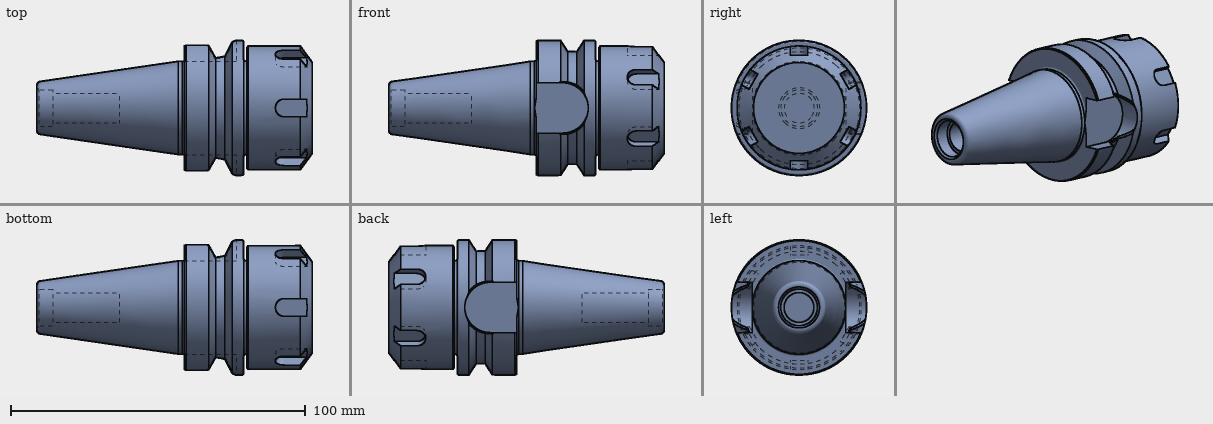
import cadquery as cq


TAPER_RATIO = 7 / 24
TAPER_LARGE_RADIUS = 31.7 / 2
TAPER_END_X = 48.1
TAPER_SMALL_RADIUS = TAPER_LARGE_RADIUS - TAPER_END_X * TAPER_RATIO / 2
TAIL_FILLET = 1.5

NECK_RADIUS = 31.8 / 2
NECK_FILLET = 0.7

FLANGE_RADIUS = 46.0 / 2
FLANGE_START_X = 50.2
FLANGE_END_X = 70.3
GROOVE_START_X = 58.4
GROOVE_END_X = 66.4
GROOVE_FLOOR_START_X = 60.8
GROOVE_FLOOR_END_X = 64.0
GROOVE_FLOOR_RADIUS = 19.2
FLANGE_EDGE_LENGTH = 0.6
FLANGE_EDGE_DEPTH = 0.3
FLANGE_REAR_FILLET = 0.75

SLOT_FLOOR_Y = 15.9
SLOT_RADIUS = 8.5
SLOT_ROUND_X = 59.3
SLOT_EDGE_BREAK = 0.5

NUT_RADIUS = 42.1 / 2
NUT_START_X = 71.4
NUT_EDGE_BREAK = 0.6
NUT_CONE_X = 89.5
NUT_END_X = 93.6
NUT_FACE_RADIUS = 15.45

WRENCH_SLOT_COUNT = 6
WRENCH_SLOT_RADIUS = 3.0
WRENCH_SLOT_ROUND_X = 84.1
WRENCH_SLOT_FLOOR = 17.9

BORE_RADIUS = 12.5 / 2
BORE_DEPTH = 5.5
BORE_CHAMFER = 0.75
THREAD_RADIUS = 10.1 / 2
THREAD_DEPTH = 28.1

SELECT_MARGIN = 0.05


def revolved(outline):
    """Revolve a closed (x, radius) outline about the X axis."""
    return cq.Workplane("XY").polyline(outline).close().revolve(360, (0, 0, 0), (1, 0, 0))


def about_axis(part, angle):
    """Turn a part about the X axis."""
    return part.rotate((0, 0, 0), (1, 0, 0), angle)


def block_selector(x_min, x_max, half_width):
    """Selector for edges inside a square block centred on the X axis."""
    low = (x_min, -half_width, -half_width)
    high = (x_max, half_width, half_width)
    return cq.selectors.BoxSelector(low, high, boundingbox=True)


def fillet_ring(part, x, ring_radius, fillet):
    """Round the full circular edge of the given radius at position x."""
    within = block_selector(x - SELECT_MARGIN, x + SELECT_MARGIN, ring_radius + SELECT_MARGIN)
    smaller = block_selector(x - SELECT_MARGIN, x + SELECT_MARGIN, ring_radius - SELECT_MARGIN)
    return part.edges(within - smaller).fillet(fillet)


def turned_body():
    """Revolve the outer outline: shank, neck, grooved flange and nut."""
    outline = [
        (0, 0),
        (0, TAPER_SMALL_RADIUS),
        (TAPER_END_X, TAPER_LARGE_RADIUS),
        (TAPER_END_X, NECK_RADIUS),
        (FLANGE_START_X, NECK_RADIUS),
        (FLANGE_START_X, FLANGE_RADIUS - FLANGE_EDGE_DEPTH),
        (FLANGE_START_X + FLANGE_EDGE_LENGTH, FLANGE_RADIUS),
        (GROOVE_START_X, FLANGE_RADIUS),
        (GROOVE_FLOOR_START_X, GROOVE_FLOOR_RADIUS),
        (GROOVE_FLOOR_END_X, GROOVE_FLOOR_RADIUS),
        (GROOVE_END_X, FLANGE_RADIUS),
        (FLANGE_END_X, FLANGE_RADIUS),
        (FLANGE_END_X, NECK_RADIUS),
        (NUT_START_X, NECK_RADIUS),
        (NUT_START_X, NUT_RADIUS - NUT_EDGE_BREAK),
        (NUT_START_X + NUT_EDGE_BREAK, NUT_RADIUS),
        (NUT_CONE_X, NUT_RADIUS),
        (NUT_END_X, NUT_FACE_RADIUS),
        (NUT_END_X, 0),
    ]
    body = revolved(outline)
    body = fillet_ring(body, 0, TAPER_SMALL_RADIUS, TAIL_FILLET)
    body = fillet_ring(body, FLANGE_START_X, NECK_RADIUS, NECK_FILLET)
    body = fillet_ring(body, FLANGE_END_X, NECK_RADIUS, NECK_FILLET)
    return fillet_ring(body, FLANGE_END_X, FLANGE_RADIUS, FLANGE_REAR_FILLET)


def stud_bore():
    """Chamfered bore followed by the thread core hole."""
    outline = [
        (0, 0),
        (0, BORE_RADIUS + BORE_CHAMFER),
        (BORE_CHAMFER, BORE_RADIUS),
        (BORE_DEPTH, BORE_RADIUS),
        (BORE_DEPTH, THREAD_RADIUS),
        (THREAD_DEPTH, THREAD_RADIUS),
        (THREAD_DEPTH, 0),
    ]
    return revolved(outline)


def round_ended_slot(plane, start_x, round_x, radius, floor, height, round_side):
    """Cutter with parallel sides, a flat floor and one semicircular end."""
    return (
        cq.Workplane(plane)
        .workplane(offset=floor)
        .moveTo(start_x, radius)
        .lineTo(round_x, radius)
        .threePointArc((round_x + round_side * radius, 0), (round_x, -radius))
        .lineTo(start_x, -radius)
        .close()
        .extrude(height)
    )


def drive_slot():
    """Cutter for the slot on the -Y side, open towards the taper."""
    return round_ended_slot(
        "XZ", FLANGE_START_X - NECK_FILLET, SLOT_ROUND_X, SLOT_RADIUS, SLOT_FLOOR_Y,
        FLANGE_RADIUS - SLOT_FLOOR_Y, 1,
    )


def break_slot_edges(part):
    """Chamfer the rims of both drive slots from the groove mouth to the round end."""
    x_min = GROOVE_START_X - SELECT_MARGIN
    x_max = SLOT_ROUND_X + SLOT_RADIUS + SELECT_MARGIN
    half_width = SLOT_RADIUS + SELECT_MARGIN
    floor = SLOT_FLOOR_Y + SELECT_MARGIN
    near_side = cq.selectors.BoxSelector(
        (x_min, -FLANGE_RADIUS, -half_width), (x_max, -floor, half_width), boundingbox=True
    )
    far_side = cq.selectors.BoxSelector(
        (x_min, floor, -half_width), (x_max, FLANGE_RADIUS, half_width), boundingbox=True
    )
    return part.edges(near_side + far_side).chamfer(SLOT_EDGE_BREAK)


def wrench_slot():
    """Cutter for the slot on the +Z side, open towards the nut face."""
    return round_ended_slot(
        "XY", NUT_END_X, WRENCH_SLOT_ROUND_X, WRENCH_SLOT_RADIUS, WRENCH_SLOT_FLOOR,
        NUT_RADIUS - WRENCH_SLOT_FLOOR, -1,
    )


result = turned_body().cut(stud_bore())

for side_angle in (0, 180):
    result = result.cut(about_axis(drive_slot(), side_angle))
result = break_slot_edges(result)

for index in range(WRENCH_SLOT_COUNT):
    slot_angle = index * 360 / WRENCH_SLOT_COUNT
    result = result.cut(about_axis(wrench_slot(), slot_angle))